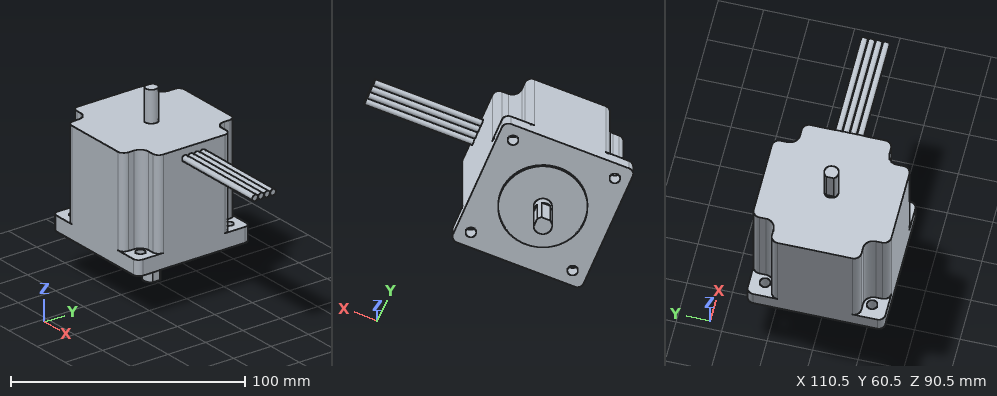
import cadquery as cq

flange_side = 60.5
flange_height = 7.6
flange_corner_radius = 3.0
hole_pitch = 47.1
hole_diameter = 4.5

body_height = 46.5
notch_side = 10.6
notch_inner_radius = 4.4
notch_outer_radius = 3.2

pilot_diameter = 38.2
pilot_height = 1.4

front_shaft_diameter = 8.0
front_shaft_length = 19.0
front_flat_start = 4.3
rear_shaft_diameter = 6.3
rear_shaft_length = 16.0
rear_flat_start = 1.0
flat_depth = 0.5

wire_count = 4
wire_diameter = 3.1
wire_pitch = 3.2
wire_depth_below_top = 5.1
overall_length = 110.5

half_side = flange_side / 2
body_top = flange_height + body_height


def make_flange():
    plate = (
        cq.Workplane("XY")
        .rect(flange_side, flange_side)
        .extrude(flange_height)
        .edges("|Z")
        .fillet(flange_corner_radius)
    )
    return (
        plate.faces(">Z")
        .workplane()
        .rect(hole_pitch, hole_pitch, forConstruction=True)
        .vertices()
        .hole(hole_diameter)
    )


def make_body():
    """Cross-shaped prism with rounded inside and outside corners."""
    arm_width = flange_side - 2 * notch_side
    base = cq.Workplane("XY").workplane(offset=flange_height)
    arm_x = base.rect(flange_side, arm_width).extrude(body_height)
    arm_y = base.rect(arm_width, flange_side).extrude(body_height)
    cross = arm_x.union(arm_y)

    inner = half_side - notch_side
    margin = notch_side / 2
    inner_corners = cq.selectors.BoxSelector(
        (-inner - margin, -inner - margin, 0),
        (inner + margin, inner + margin, body_top),
    )
    cross = cross.edges("|Z").edges(inner_corners).fillet(notch_inner_radius)

    for face in ("<X", ">X"):
        cross = cross.faces(face).edges("|Z").fillet(notch_outer_radius)
    for face in ("<Y", ">Y"):
        cross = cross.faces(face).edges("|Z").fillet(notch_outer_radius)
    return cross


def make_shaft(diameter, length, flat_start, flat_angles):
    """Upright shaft from Z = 0 with flats facing the given angles about Z."""
    shaft = cq.Workplane("XY").circle(diameter / 2).extrude(length)
    flat_distance = diameter / 2 - flat_depth
    for angle in flat_angles:
        cutter = (
            cq.Workplane("XY")
            .box(diameter, diameter, length, centered=(False, True, False))
            .translate((flat_distance, 0, flat_start))
            .rotate((0, 0, 0), (0, 0, 1), angle)
        )
        shaft = shaft.cut(cutter)
    return shaft


def make_wires():
    positions = [
        ((i - (wire_count - 1) / 2) * wire_pitch, body_top - wire_depth_below_top)
        for i in range(wire_count)
    ]
    return (
        cq.Workplane("YZ")
        .workplane(offset=half_side - notch_side)
        .pushPoints(positions)
        .circle(wire_diameter / 2)
        .extrude(overall_length - flange_side + notch_side)
    )


pilot = cq.Workplane("XY").circle(pilot_diameter / 2).extrude(-pilot_height)

front_shaft = (
    make_shaft(front_shaft_diameter, front_shaft_length, front_flat_start, (0, -90))
    .rotate((0, 0, 0), (1, 0, 0), 180)
    .translate((0, 0, -pilot_height))
)
rear_shaft = make_shaft(
    rear_shaft_diameter, rear_shaft_length, rear_flat_start, (180,)
).translate((0, 0, body_top))

result = make_flange()
for piece in (make_body(), pilot, front_shaft, rear_shaft, make_wires()):
    result = result.union(piece)